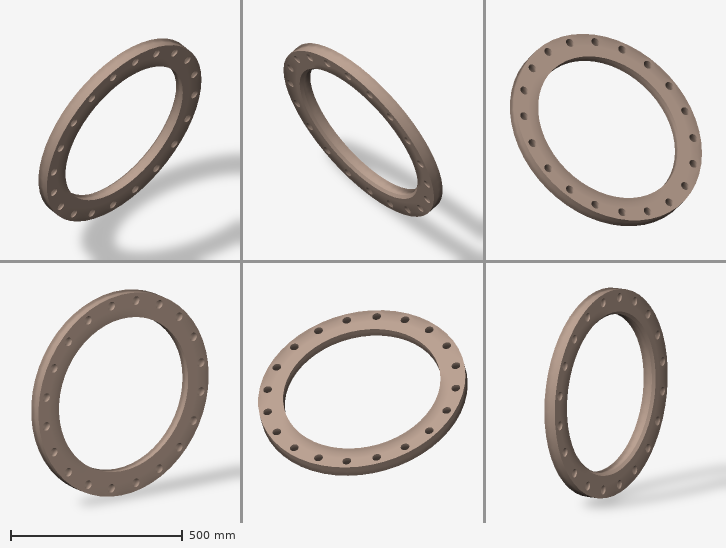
import cadquery as cq

outer_diameter = 615.0
bore_diameter = 467.0
thickness = 36.0

chamfer_size = 8.0

bolt_hole_count = 20
bolt_hole_diameter = 26.0
bolt_circle_diameter = 565.0
bolt_pitch_angle = 360.0 / bolt_hole_count


def make_ring():
    """Plain ring from x = 0 to x = thickness."""
    return (
        cq.Workplane("YZ")
        .circle(outer_diameter / 2)
        .circle(bore_diameter / 2)
        .extrude(thickness)
    )


def chamfer_bore(ring):
    """Break the inner edge of the -X face."""
    bore_edge = cq.selectors.RadiusNthSelector(0)
    return ring.faces("<X").edges(bore_edge).chamfer(chamfer_size)


def drill_bolt_holes(ring):
    """Cut the bolt holes through the full thickness."""
    holes = (
        cq.Workplane("YZ")
        .polarArray(bolt_circle_diameter / 2, bolt_pitch_angle / 2, 360, bolt_hole_count)
        .circle(bolt_hole_diameter / 2)
        .extrude(thickness)
    )
    return ring.cut(holes)


result = drill_bolt_holes(chamfer_bore(make_ring()))